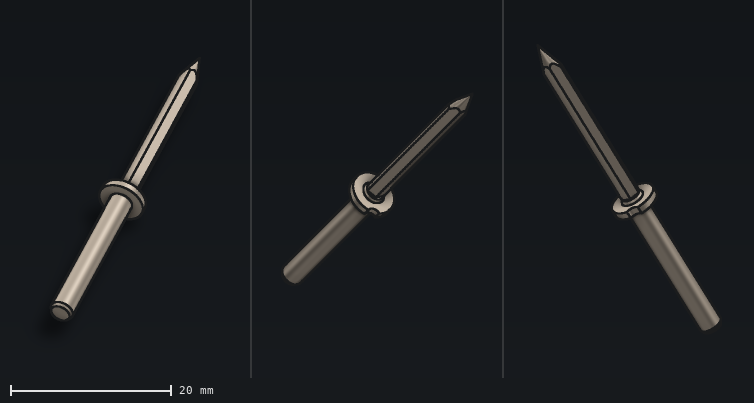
import cadquery as cq

total_length = 46.0

shank_diameter = 3.0
shank_radius = shank_diameter / 2
taper_radius = 1.25
taper_length = 0.5
shank_length = 20.0

flange_radius = 2.95
flange_thickness = 1.0
notch_radius = 0.9
notch_bottom_depth = 0.5
neck_length = taper_length

blade_half_width = 1.2
blade_half_height = 1.0
side_face_half_height = 0.35
point_radius = 1.3
point_length = 4.1

shank_start = -total_length / 2
flange_start = shank_start + shank_length
neck_start = flange_start + flange_thickness
blade_start = neck_start + neck_length
tip = total_length / 2


def plane_at(y):
    """Plane facing +Y with its local vertical along Z and local x along -X."""
    return cq.Plane(origin=(0, y, 0), xDir=(-1, 0, 0), normal=(0, 1, 0))


def make_turned_body():
    """Shank, flange and neck as one revolved profile."""
    profile = (
        cq.Workplane("XY")
        .moveTo(0, shank_start)
        .lineTo(taper_radius, shank_start)
        .lineTo(shank_radius, shank_start + taper_length)
        .lineTo(shank_radius, flange_start)
        .lineTo(flange_radius, flange_start)
        .lineTo(flange_radius, neck_start)
        .lineTo(shank_radius, neck_start)
        .lineTo(taper_radius, blade_start)
        .lineTo(0, blade_start)
        .close()
    )
    return profile.revolve(360, (0, 0, 0), (0, 1, 0))


def make_notch_cutter():
    """Cylinder that scoops the underside of the flange rim."""
    notch_center_z = -flange_radius + notch_bottom_depth - notch_radius
    return (
        cq.Workplane(plane_at(flange_start))
        .center(0, notch_center_z)
        .circle(notch_radius)
        .extrude(flange_thickness)
    )


def make_blade():
    """Hexagonal bar trimmed to a cone at its far end."""
    bar = (
        cq.Workplane(plane_at(neck_start))
        .polyline([
            (0, blade_half_height),
            (blade_half_width, side_face_half_height),
            (blade_half_width, -side_face_half_height),
            (0, -blade_half_height),
            (-blade_half_width, -side_face_half_height),
            (-blade_half_width, side_face_half_height),
        ])
        .close()
        .extrude(tip - neck_start)
    )
    point_envelope = (
        cq.Workplane("XY")
        .moveTo(0, neck_start)
        .lineTo(point_radius, neck_start)
        .lineTo(point_radius, tip - point_length)
        .lineTo(0, tip)
        .close()
        .revolve(360, (0, 0, 0), (0, 1, 0))
    )
    return bar.intersect(point_envelope)


result = make_turned_body().cut(make_notch_cutter()).union(make_blade())